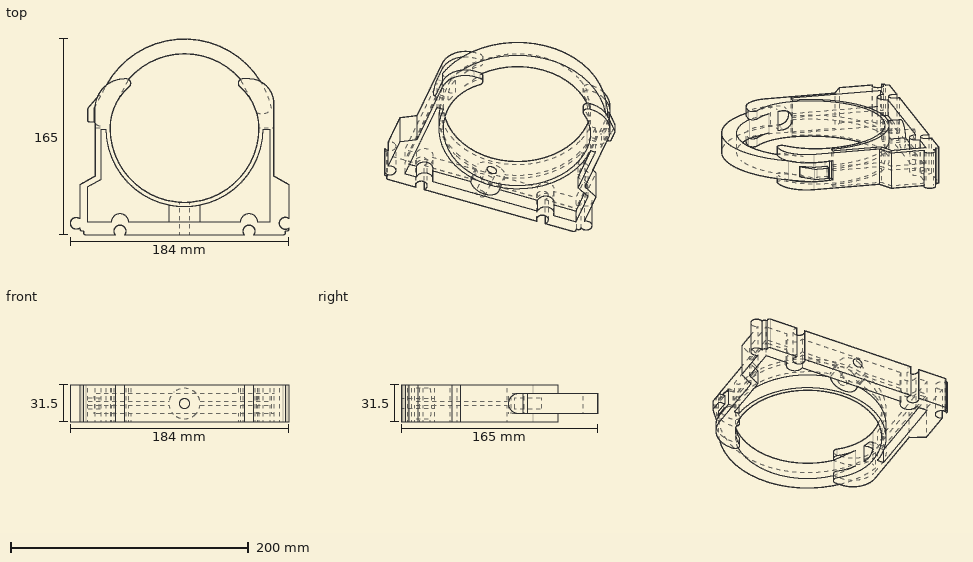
import cadquery as cq
import math


OVERALL_LENGTH = 184.0
HEIGHT = 31.5
BORE_RADIUS = 62.46
BASE_Y = -90.0
BASE_HALF_WIDTH = 88.0
WALL_HALF_WIDTH = 75.2
SHOULDER_LOW_Y = -47.5
SHOULDER_HIGH_Y = -40.3

LEFT_JAW_OUTER_RADIUS = 25.0
RIGHT_JAW_OUTER_RADIUS = 21.0
JAW_TOP_Y = 41.5
JAW_INNER_RADIUS = 46.0
JAW_TIP_RADIUS = 3.9
JAW_INNER_CENTER_X = BORE_RADIUS - JAW_INNER_RADIUS

WEB_THICKNESS = 3.5
RIM_RADIUS = 66.0
POCKET_TOP_Y = -1.3
POCKET_BOTTOM_Y = -79.1
POCKET_LEFT_X = -81.5
POCKET_NECK_X = -70.3
POCKET_RIGHT_X = 71.8
POCKET_SHOULDER_LOW_Y = -49.3
POCKET_SHOULDER_HIGH_Y = -43.2

GROOVE_X = 54.3
GROOVE_Y = -86.7
GROOVE_RADIUS = 5.0
GROOVE_BOSS_RADIUS = 7.2
SCREW_DIAMETER = 8.5
SCREW_TUBE_DIAMETER = 26.0

PIN_RADIUS = 5.0
PIN_X = BASE_HALF_WIDTH - OVERALL_LENGTH + PIN_RADIUS
SOCKET_X = PIN_X + 2 * BASE_HALF_WIDTH
PIN_Y = -80.0
FOOT_STEP_WIDTH = 3.1
FOOT_STEP_Y = -86.7
FOOT_ROUND = 1.8

CAP_HEIGHT = 17.0
CAP_OUTER_RADIUS = 75.0
CAP_SEAT_Y = 21.3
CAP_CHORD_Y = 41.2
CAP_END_INNER_Y = 13.0
CAP_END_OUTER_Y = 16.0
CAP_END_LOW_POINT = (67.0, 12.1)
TAIL_X = -76.2
TAIL_START_Y = 36.2
TAIL_BEND_Y = 16.5
TAIL_END_Y = 1.8
TAIL_END_RADIUS = 5.3
BEND_RADIUS = 2.5

CATCH_X = -81.5
CATCH_BOTTOM_Y = 5.2
CATCH_BEND_Y = 16.5
CATCH_TOP_X = -72.1
CATCH_TOP_Y = 27.6
CATCH_ROOT_X = -70.0
CATCH_WIDTH = 9.0
CATCH_EDGE_ROUND = 1.5


def prism(sketch, height):
    """Extrude a closed XY outline symmetrically about Z = 0."""
    return sketch.extrude(height / 2, both=True)


def cylinder(x, y, radius):
    """Full-height round bar parallel to Z."""
    return prism(cq.Workplane("XY").center(x, y).circle(radius), HEIGHT)


def block(x_min, x_max, y_min, y_max, height):
    outline = cq.Workplane("XY").moveTo(x_min, y_min).lineTo(x_max, y_min)
    return prism(outline.lineTo(x_max, y_max).lineTo(x_min, y_max).close(), height)


def jaw_inner_x(y):
    """Distance of the jaw's inner face from the YZ plane at a given Y."""
    return JAW_INNER_CENTER_X + math.sqrt(JAW_INNER_RADIUS**2 - y**2)


def polar(radius, degrees):
    angle = math.radians(degrees)
    return radius * math.cos(angle), radius * math.sin(angle)


def body_half(jaw_outer_radius):
    """Half of the body on the +X side, from the base up to the jaw tip."""
    jaw_center_x = WALL_HALF_WIDTH - jaw_outer_radius
    jaw_center_y = JAW_TOP_Y - jaw_outer_radius
    bulge = jaw_outer_radius * math.sqrt(0.5)
    tip_y = JAW_TOP_Y - JAW_TIP_RADIUS
    reach = JAW_INNER_RADIUS + JAW_TIP_RADIUS
    tip_x = JAW_INNER_CENTER_X + math.sqrt(reach**2 - tip_y**2)
    contact_angle = math.degrees(math.asin(tip_y / reach))
    contact_x, contact_y = polar(JAW_INNER_RADIUS, contact_angle)
    middle_x, middle_y = polar(JAW_INNER_RADIUS, contact_angle / 2)
    half = prism(
        cq.Workplane("XY")
        .moveTo(0, BASE_Y)
        .lineTo(BASE_HALF_WIDTH - FOOT_STEP_WIDTH, BASE_Y)
        .lineTo(BASE_HALF_WIDTH - FOOT_STEP_WIDTH, FOOT_STEP_Y)
        .lineTo(BASE_HALF_WIDTH, FOOT_STEP_Y)
        .lineTo(BASE_HALF_WIDTH, SHOULDER_LOW_Y)
        .lineTo(WALL_HALF_WIDTH, SHOULDER_HIGH_Y)
        .lineTo(WALL_HALF_WIDTH, jaw_center_y)
        .threePointArc(
            (jaw_center_x + bulge, jaw_center_y + bulge),
            (jaw_center_x, JAW_TOP_Y),
        )
        .lineTo(tip_x, JAW_TOP_Y)
        .threePointArc(
            (tip_x - JAW_TIP_RADIUS, tip_y),
            (JAW_INNER_CENTER_X + contact_x, contact_y),
        )
        .threePointArc((JAW_INNER_CENTER_X + middle_x, middle_y), (BORE_RADIUS, 0))
        .threePointArc(polar(BORE_RADIUS, -45), (0, -BORE_RADIUS))
        .close(),
        HEIGHT,
    )
    return rounded_foot(half)


def rounded_foot(half):
    """Round the outer corners of the step at the foot of a body half."""
    step_x = BASE_HALF_WIDTH - FOOT_STEP_WIDTH
    for x, y in ((step_x, BASE_Y), (BASE_HALF_WIDTH, FOOT_STEP_Y)):
        corner = cq.selectors.BoxSelector((x - 0.2, y - 0.2, -HEIGHT), (x + 0.2, y + 0.2, HEIGHT))
        half = half.edges(corner).fillet(FOOT_ROUND)
    return half


def web_space():
    """Full-height space between the walls, the base and the rim of the bore."""
    space = prism(
        cq.Workplane("XY")
        .moveTo(POCKET_LEFT_X, POCKET_BOTTOM_Y)
        .lineTo(POCKET_RIGHT_X, POCKET_BOTTOM_Y)
        .lineTo(POCKET_RIGHT_X, POCKET_TOP_Y)
        .lineTo(POCKET_NECK_X, POCKET_TOP_Y)
        .lineTo(POCKET_NECK_X, POCKET_SHOULDER_HIGH_Y)
        .lineTo(POCKET_LEFT_X, POCKET_SHOULDER_LOW_Y)
        .close(),
        HEIGHT,
    )
    space = space.cut(cylinder(0, 0, RIM_RADIUS))
    for x in (-GROOVE_X, GROOVE_X):
        space = space.cut(cylinder(x, POCKET_BOTTOM_Y, GROOVE_BOSS_RADIUS))
    return space


def rod_along_y(diameter, y_start, y_end):
    plane = cq.Plane(origin=(0, y_start, 0), xDir=(1, 0, 0), normal=(0, 1, 0))
    return cq.Workplane(plane).circle(diameter / 2).extrude(y_end - y_start)


def web_pockets():
    """Pockets above and below the web, leaving the screw tube standing."""
    web = block(-BASE_HALF_WIDTH, BASE_HALF_WIDTH, BASE_Y, 0, WEB_THICKNESS)
    tube = rod_along_y(SCREW_TUBE_DIAMETER, BASE_Y, 0)
    return web_space().cut(web).cut(tube)


def right_slot():
    """Slot through the right jaw with a half-round lower end."""
    end_y = CAP_HEIGHT / 2
    slot = block(0, BASE_HALF_WIDTH, end_y, JAW_TOP_Y, CAP_HEIGHT)
    round_end = cq.Workplane("YZ").center(end_y, 0).circle(CAP_HEIGHT / 2).extrude(BASE_HALF_WIDTH)
    return slot.union(round_end)


def left_slot():
    """Recess in the outside of the left jaw, open right through near the tip."""
    recess = block(-BASE_HALF_WIDTH, POCKET_NECK_X, 0, JAW_TOP_Y, CAP_HEIGHT)
    return recess.union(block(-BASE_HALF_WIDTH, 0, CAP_SEAT_Y, JAW_TOP_Y, CAP_HEIGHT))


def bracket():
    left_half = body_half(LEFT_JAW_OUTER_RADIUS).mirror("YZ")
    body = body_half(RIGHT_JAW_OUTER_RADIUS).union(left_half)
    body = body.cut(web_pockets()).union(cylinder(PIN_X, PIN_Y, PIN_RADIUS))
    body = body.cut(cylinder(SOCKET_X, PIN_Y, PIN_RADIUS))
    for x in (-GROOVE_X, GROOVE_X):
        body = body.cut(cylinder(x, GROOVE_Y, GROOVE_RADIUS))
    body = body.cut(rod_along_y(SCREW_DIAMETER, BASE_Y, 0))
    return body.cut(right_slot()).cut(left_slot())


def cap():
    """Strap with a rounded end in the right jaw and a straight tail on the left."""
    seat_x = jaw_inner_x(CAP_SEAT_Y)
    seat_middle_y = (CAP_SEAT_Y + CAP_END_INNER_Y) / 2
    end_inner = (jaw_inner_x(CAP_END_INNER_Y), CAP_END_INNER_Y)
    end_outer = (math.sqrt(CAP_OUTER_RADIUS**2 - CAP_END_OUTER_Y**2), CAP_END_OUTER_Y)
    chord_x = math.sqrt(BORE_RADIUS**2 - CAP_CHORD_Y**2)
    tail_start_x = -math.sqrt(CAP_OUTER_RADIUS**2 - TAIL_START_Y**2)
    round_x = TAIL_X + TAIL_END_RADIUS
    round_y = TAIL_END_Y + TAIL_END_RADIUS
    diagonal = TAIL_END_RADIUS * math.sqrt(0.5)
    strap = prism(
        cq.Workplane("XY")
        .moveTo(-seat_x, CAP_SEAT_Y)
        .lineTo(-chord_x, CAP_CHORD_Y)
        .threePointArc((0, BORE_RADIUS), (chord_x, CAP_CHORD_Y))
        .lineTo(seat_x, CAP_SEAT_Y)
        .threePointArc((jaw_inner_x(seat_middle_y), seat_middle_y), end_inner)
        .threePointArc(CAP_END_LOW_POINT, end_outer)
        .threePointArc((0, CAP_OUTER_RADIUS), (tail_start_x, TAIL_START_Y))
        .lineTo(TAIL_X, TAIL_BEND_Y)
        .lineTo(TAIL_X, round_y)
        .threePointArc((round_x - diagonal, round_y - diagonal), (round_x, TAIL_END_Y))
        .lineTo(POCKET_NECK_X, TAIL_END_Y)
        .close(),
        CAP_HEIGHT,
    )
    bend = cq.selectors.NearestToPointSelector((TAIL_X, TAIL_BEND_Y, 0))
    return strap.edges("|Z").edges(bend).fillet(BEND_RADIUS)


def catch():
    """Wedge-shaped thumb catch standing out from the tail of the cap."""
    wedge = prism(
        cq.Workplane("XY")
        .moveTo(CATCH_ROOT_X, CATCH_BOTTOM_Y)
        .lineTo(CATCH_X, CATCH_BOTTOM_Y)
        .lineTo(CATCH_X, CATCH_BEND_Y)
        .lineTo(CATCH_TOP_X, CATCH_TOP_Y)
        .lineTo(CATCH_ROOT_X, CATCH_TOP_Y)
        .close(),
        CATCH_WIDTH,
    )
    for y, radius in ((CATCH_BEND_Y, BEND_RADIUS), (CATCH_BOTTOM_Y, CATCH_EDGE_ROUND)):
        corner = cq.selectors.NearestToPointSelector((CATCH_X, y, 0))
        wedge = wedge.edges("|Z").edges(corner).fillet(radius)
    return wedge


result = bracket().union(cap()).union(catch())